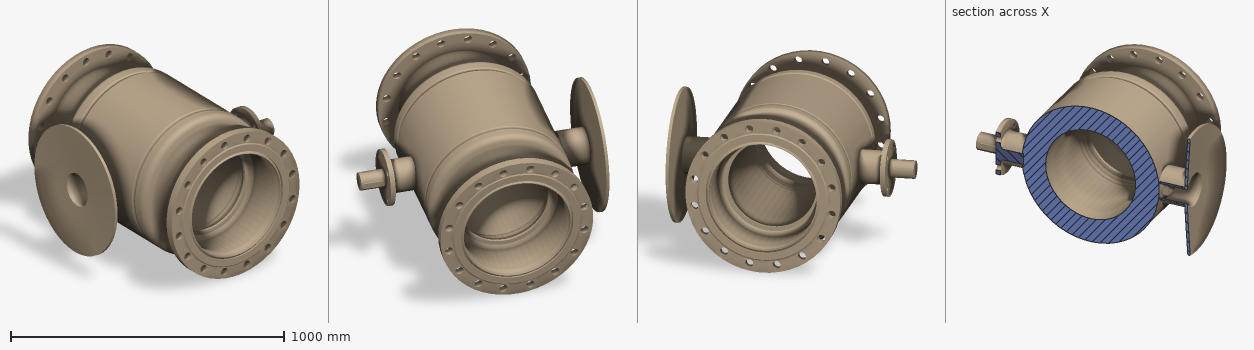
import cadquery as cq
import math


shell_radius = 279.0
shell_half_length = 193.0
shell_bevel_length = 11.0
shell_bevel_depth = 7.0
bore_radius = 182.0

face_x = 447.5
pipe_radius = 213.0
pipe_bore_radius = 199.0
pipe_mouth_radius = 202.0
mouth_depth = 14.0
mouth_taper_length = 18.0
pipe_bevel = 8.0
shoulder_x = 230.0
shoulder_radius = 27.0
swell_radius = 36.0
swell_angle = math.radians(75)
neck_end_round = 11.0
seat_cone_length = 12.0
lip_x = 277.0
lip_thickness = 11.0
lip_radius = 166.5
groove_depth = 2.0
bore_grooves = [(213.0, 222.0), (235.0, 248.0)]

flange_radius = 290.0
flange_back_x = 411.0
raised_face_height = 4.0
raised_face_radius = 240.0
raised_face_root_radius = 244.0
bolt_count = 16
bolt_circle_radius = 262.0
bolt_hole_diameter = 30.0

housing_radius = 63.0
housing_foot_y = 274.0
mount_back_y = 366.0
mount_face_y = 385.0
mount_radius = 106.0
weld_height = 9.0
weld_width = 4.5
mount_hole_count = 4
mount_hole_circle_radius = 82.0
mount_hole_diameter = 21.5

stem_radius = 34.0
stem_end_y = 477.0
key_length = 88.0
key_width = 22.0
key_start_y = mount_face_y + 1.0
key_floor_x = -22.0
key_top_x = -37.0

boss_radius = 44.0
boss_square = 65.0
boss_shoulder_y = -283.0
boss_end_y = -301.0

tube_radius = 70.0
tube_bore_radius = 64.9
disc_radius = 250.0
disc_land_radius = 76.0
disc_top_y = -382.0
disc_rise = 12.0
disc_thickness = 12.0


def cylinder_y(radius, start_y, end_y):
    """Cylinder on the Y axis from start_y up to end_y."""
    base = cq.Workplane("XZ", origin=(0, start_y, 0))
    return base.circle(radius).extrude(start_y - end_y)


def revolve_x(outline):
    """Turn an outline of (x, radius) points about the X axis."""
    return outline.close().revolve(360, (0, 0, 0), (1, 0, 0))


def make_shell():
    rim_radius = shell_radius - shell_bevel_depth
    bevel_x = shell_half_length - shell_bevel_length
    drum = revolve_x(
        cq.Workplane("XY")
        .moveTo(-shell_half_length, bore_radius)
        .lineTo(-shell_half_length, rim_radius)
        .lineTo(-bevel_x, shell_radius)
        .lineTo(bevel_x, shell_radius)
        .lineTo(shell_half_length, rim_radius)
        .lineTo(shell_half_length, bore_radius)
    )
    recess = cylinder_y(housing_radius, housing_foot_y, mount_back_y)
    boss_root_y = -(shell_radius + bore_radius) / 2
    boss = cylinder_y(boss_radius, boss_end_y, boss_root_y)
    square = cq.Workplane("XY").box(boss_square, 2 * shell_radius * 2, boss_square)
    boss_round = cylinder_y(boss_radius, boss_shoulder_y, boss_root_y)
    return drum.cut(recess).union(boss.intersect(square)).union(boss_round)


def make_neck():
    """Neck on the +X side."""
    turn = 1 - math.cos(swell_angle)
    arcs_rise = (shoulder_radius + swell_radius) * turn
    flank_rise = shell_radius - pipe_radius - arcs_rise
    flank_run = flank_rise / math.tan(swell_angle)

    flank_top = (
        shoulder_x + shoulder_radius * math.sin(swell_angle),
        shell_radius - shoulder_radius * turn,
    )
    flank_foot = (flank_top[0] + flank_run, flank_top[1] - flank_rise)
    swell_x = flank_foot[0] + swell_radius * math.sin(swell_angle)
    half_sin = math.sin(swell_angle / 2)
    half_turn = 1 - math.cos(swell_angle / 2)
    shoulder_mid = (
        shoulder_x + shoulder_radius * half_sin,
        shell_radius - shoulder_radius * half_turn,
    )
    swell_mid = (swell_x - swell_radius * half_sin, pipe_radius + swell_radius * half_turn)

    round_x = shell_half_length + neck_end_round
    round_mid = (
        round_x - neck_end_round * math.sin(math.pi / 4),
        shell_radius - neck_end_round * (1 - math.cos(math.pi / 4)),
    )
    taper_x = face_x - mouth_depth
    neck = revolve_x(
        cq.Workplane("XY")
        .moveTo(shell_half_length, bore_radius)
        .lineTo(shell_half_length, shell_radius - neck_end_round)
        .threePointArc(round_mid, (round_x, shell_radius))
        .lineTo(shoulder_x, shell_radius)
        .threePointArc(shoulder_mid, flank_top)
        .lineTo(*flank_foot)
        .threePointArc(swell_mid, (swell_x, pipe_radius))
        .lineTo(face_x - pipe_bevel, pipe_radius)
        .lineTo(face_x, pipe_radius - pipe_bevel)
        .lineTo(face_x, pipe_mouth_radius)
        .lineTo(taper_x, pipe_mouth_radius)
        .lineTo(taper_x - mouth_taper_length, pipe_bore_radius)
        .lineTo(lip_x + seat_cone_length, pipe_bore_radius)
        .lineTo(lip_x, bore_radius)
        .lineTo(lip_x, lip_radius)
        .lineTo(lip_x - lip_thickness, lip_radius)
        .lineTo(lip_x - lip_thickness, bore_radius)
    )
    for start_x, end_x in bore_grooves:
        groove = cq.Workplane("YZ", origin=(start_x, 0, 0)).circle(bore_radius + groove_depth)
        neck = neck.cut(groove.extrude(end_x - start_x))
    return neck


def make_pipe_flange():
    """Flange on the +X side."""
    front_x = face_x - raised_face_height
    flange = revolve_x(
        cq.Workplane("XY")
        .moveTo(flange_back_x, pipe_radius)
        .lineTo(flange_back_x, flange_radius)
        .lineTo(front_x, flange_radius)
        .lineTo(front_x, raised_face_root_radius)
        .lineTo(face_x, raised_face_radius)
        .lineTo(face_x, pipe_radius)
    )
    bolt_holes = (
        cq.Workplane("YZ", origin=(flange_back_x, 0, 0))
        .polarArray(bolt_circle_radius, 180 / bolt_count, 360, bolt_count)
        .circle(bolt_hole_diameter / 2)
        .extrude(face_x - flange_back_x)
    )
    return flange.cut(bolt_holes)


def make_stem_housing():
    """Tube for the stem, flaring through a weld cone into the mounting flange."""
    housing = (
        cq.Workplane("XY")
        .moveTo(stem_radius, housing_foot_y)
        .lineTo(housing_radius, housing_foot_y)
        .lineTo(housing_radius, mount_back_y - weld_height)
        .lineTo(housing_radius + weld_width, mount_back_y)
        .lineTo(mount_radius, mount_back_y)
        .lineTo(mount_radius, mount_face_y)
        .lineTo(stem_radius, mount_face_y)
        .close()
        .revolve(360, (0, 0, 0), (0, 1, 0))
    )
    mount_holes = (
        cq.Workplane("XZ", origin=(0, mount_back_y, 0))
        .polarArray(mount_hole_circle_radius, 180 / mount_hole_count, 360, mount_hole_count)
        .circle(mount_hole_diameter / 2)
        .extrude(mount_back_y - mount_face_y)
    )
    return housing.cut(mount_holes)


def make_key():
    """Round-ended key on the -X side of the stem."""
    return (
        cq.Workplane("YZ", origin=(key_top_x, key_start_y + key_length / 2, 0))
        .slot2D(key_length, key_width)
        .extrude(key_floor_x - key_top_x)
    )


def make_stem():
    return cylinder_y(stem_radius, housing_foot_y, stem_end_y).cut(make_key())


def make_foot_tube():
    tube = cylinder_y(tube_radius, disc_top_y, -shell_radius)
    return tube.cut(cylinder_y(tube_bore_radius, disc_top_y, -shell_radius))


def make_foot_disc():
    """Conical disc with a flat land around its hole for the foot tube."""
    rim_top_y = disc_top_y - disc_rise
    return (
        cq.Workplane("XY")
        .moveTo(tube_bore_radius, disc_top_y)
        .lineTo(disc_land_radius, disc_top_y)
        .lineTo(disc_radius, rim_top_y)
        .lineTo(disc_radius, rim_top_y - disc_thickness)
        .lineTo(tube_bore_radius, disc_top_y - disc_thickness)
        .close()
        .revolve(360, (0, 0, 0), (0, 1, 0))
    )


shell = make_shell()
stem_housing = make_stem_housing()
stem = make_stem()
key = make_key()
foot_tube = make_foot_tube()
foot_disc = make_foot_disc()

necks = []
pipe_flanges = []
for turn_angle in (0, 180):
    necks.append(make_neck().rotate((0, 0, 0), (0, 1, 0), turn_angle).val())
    pipe_flanges.append(make_pipe_flange().rotate((0, 0, 0), (0, 1, 0), turn_angle).val())

result = cq.Compound.makeCompound([
    shell.val(),
    *necks,
    *pipe_flanges,
    stem_housing.val(),
    stem.val(),
    key.val(),
    foot_tube.val(),
    foot_disc.val(),
])